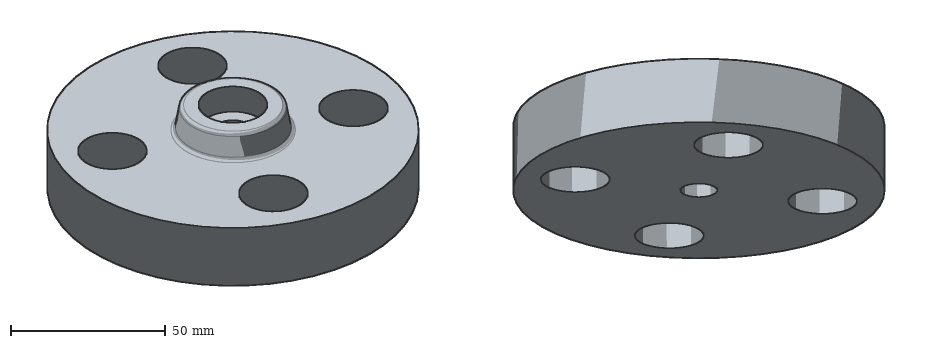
import cadquery as cq
import math

flange_diameter = 120.6
flange_thickness = 22.2
overall_height = 31.7

bolt_hole_count = 4
bolt_hole_diameter = 22.3
bolt_circle_diameter = 82.5

hub_base_diameter = 38.0
hub_taper_angle = 10.0
hub_fillet_radius = 1.5

bore_diameter = 12.0
socket_diameter = 22.3
socket_depth = 9.6


def make_flange():
    return cq.Workplane("XY").circle(flange_diameter / 2).extrude(flange_thickness)


def add_hub(body):
    """Raise the tapered hub, then round its root and its top rim."""
    hub_height = overall_height - flange_thickness
    hub_base_radius = hub_base_diameter / 2
    hub_top_radius = hub_base_radius - hub_height * math.tan(math.radians(hub_taper_angle))
    hub_profile = (
        cq.Workplane("XZ")
        .moveTo(0, flange_thickness)
        .lineTo(hub_base_radius, flange_thickness)
        .lineTo(hub_top_radius, overall_height)
        .lineTo(0, overall_height)
        .close()
    )
    body = body.union(hub_profile.revolve(360, (0, 0, 0), (0, 1, 0)))
    return body.faces("%CONE").edges("%CIRCLE").fillet(hub_fillet_radius)


def cut_bore_and_socket(body):
    return (
        body.faces(">Z")
        .workplane(origin=(0, 0, overall_height))
        .cboreHole(bore_diameter, socket_diameter, socket_depth)
    )


def cut_bolt_holes(body):
    bolt_holes = (
        cq.Workplane("XY")
        .polarArray(bolt_circle_diameter / 2, 0, 360, bolt_hole_count)
        .circle(bolt_hole_diameter / 2)
        .extrude(flange_thickness)
    )
    return body.cut(bolt_holes)


result = make_flange()
result = add_hub(result)
result = cut_bore_and_socket(result)
result = cut_bolt_holes(result)